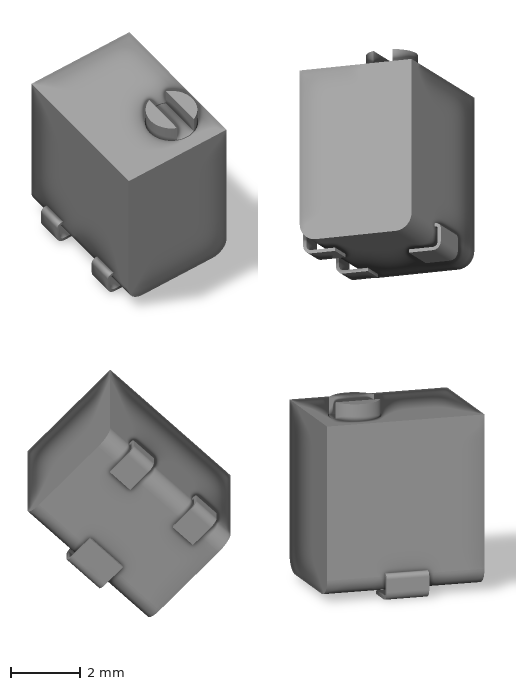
import cadquery as cq

housing_width = 4.8
housing_depth = 3.5
standoff = 0.2
housing_top = 5.3
housing_height = housing_top - standoff
bottom_edge_radius = 0.5

screw_x = 1.2
screw_y = 0.65
screw_diameter = 1.5
recess_diameter = 1.55
recess_depth = 0.5
screw_projection = 0.5
slot_width = 0.6

strip_thickness = 0.1
terminal_height = 0.8
terminal_reach = 0.2
foot_length = 1.0
upper_bend_radius = 0.15
lower_bend_radius = 0.25
narrow_width = 0.8
wide_width = 1.3
narrow_pitch = 2.5


def make_housing():
    block = (
        cq.Workplane("XY")
        .workplane(offset=standoff)
        .rect(housing_width, housing_depth)
        .extrude(housing_height)
        .edges("|X and <Z")
        .fillet(bottom_edge_radius)
    )
    recess = (
        cq.Workplane("XY")
        .workplane(offset=housing_top - recess_depth)
        .center(screw_x, screw_y)
        .circle(recess_diameter / 2)
        .extrude(recess_depth)
    )
    return block.cut(recess)


def make_screw():
    """Round screw whose driver slot is cut down flush with the housing top."""
    shank = (
        cq.Workplane("XY")
        .workplane(offset=housing_top - recess_depth)
        .center(screw_x, screw_y)
        .circle(screw_diameter / 2)
        .extrude(recess_depth + screw_projection)
    )
    slot = (
        cq.Workplane("XY")
        .workplane(offset=housing_top)
        .center(screw_x, screw_y)
        .rect(screw_diameter, slot_width)
        .extrude(screw_projection)
    )
    return shank.cut(slot)


def bend(strip, y, z, outer_radius):
    """Round the outer strip corner at (y, z) and the inner corner one thickness inside it."""
    toward_middle = strip_thickness if z == 0 else -strip_thickness
    outer = cq.selectors.NearestToPointSelector((0, y, z))
    strip = strip.edges("|X").edges(outer).fillet(outer_radius)
    inner = cq.selectors.NearestToPointSelector((0, y + strip_thickness, z + toward_middle))
    return strip.edges("|X").edges(inner).fillet(outer_radius - strip_thickness)


def make_front_terminal(width):
    """Terminal centred on X = 0, butting against the front (-Y) wall of the housing."""
    wall_y = -housing_depth / 2
    outer_y = wall_y - terminal_reach
    inner_y = outer_y + strip_thickness
    foot_tip_y = outer_y + foot_length
    arm_underside = terminal_height - strip_thickness
    strip = (
        cq.Workplane("YZ")
        .polyline(
            [
                (wall_y, terminal_height),
                (outer_y, terminal_height),
                (outer_y, 0),
                (foot_tip_y, 0),
                (foot_tip_y, strip_thickness),
                (inner_y, strip_thickness),
                (inner_y, arm_underside),
                (wall_y, arm_underside),
            ]
        )
        .close()
        .extrude(width / 2, both=True)
    )
    strip = bend(strip, outer_y, terminal_height, upper_bend_radius)
    return bend(strip, outer_y, 0, lower_bend_radius)


housing = make_housing()
screw = make_screw()
front_terminals = [
    make_front_terminal(narrow_width).translate((side * narrow_pitch / 2, 0, 0))
    for side in (-1, 1)
]
rear_terminal = make_front_terminal(wide_width).rotate((0, 0, 0), (0, 0, 1), 180)

bodies = [housing, screw, *front_terminals, rear_terminal]
result = cq.Compound.makeCompound([body.solids().val() for body in bodies])